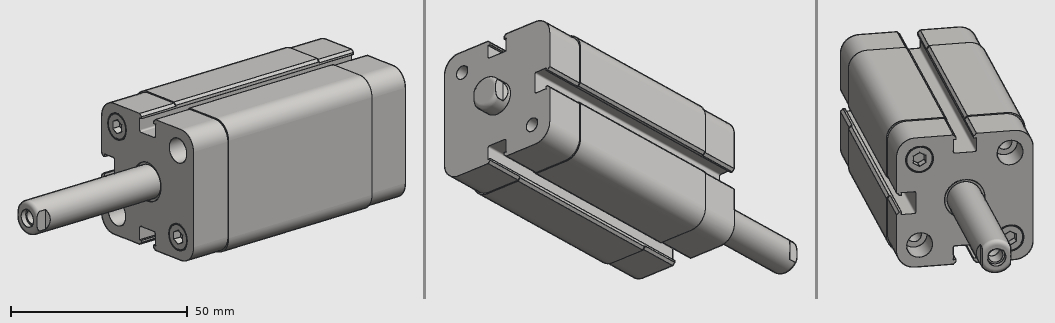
import cadquery as cq
import math


TOTAL_LENGTH = 130.5
BARREL_WIDTH = 40.0
BARREL_LENGTH = 54.0
CAP_WIDTH = 39.4
CAP_LENGTH = 12.9
CORNER_RADIUS = 5.4

ROD_DIAMETER = 10.0
ROD_BACK_LENGTH = 5.4
ROD_END_DIAMETER = 7.5
ROD_CLEARANCE_DIAMETER = 11.6
ROD_CLEARANCE_DEPTH = 0.5
FLATS_WIDTH = 8.1
FLATS_LENGTH = 3.3
ROD_HOLE_DIAMETER = 4.2
ROD_MOUTH_DIAMETER = 5.2
ROD_MOUTH_DEPTH = 1.7
ROD_HOLE_DEPTH = 6.5
DRILL_POINT_ANGLE = 118.0

SLOT_DEPTH = 5.9
SLOT_WIDTH = 6.7
SLOT_NECK_WIDTH = 5.1
SLOT_MOUTH_WIDTH = 6.7
SLOT_LIP_DEPTH = 1.7
SLOT_FLOOR_RADIUS = 0.5

HOLE_OFFSET = 13.0
MOUNT_HOLE_DIAMETER = 4.2
MOUNT_BORE_DIAMETER = 7.5
MOUNT_BORE_DEPTH = 7.8
SCREW_BORE_DIAMETER = 8.0
SCREW_HEAD_DIAMETER = 7.5
SCREW_GAP_DEPTH = 0.7
HEX_ACROSS_FLATS = 3.7
HEX_DEPTH = 2.6

FRONT_END = -TOTAL_LENGTH / 2
BACK_END = TOTAL_LENGTH / 2
BACK_FACE = BACK_END - ROD_BACK_LENGTH
BARREL_BACK = BACK_FACE - CAP_LENGTH
BARREL_FRONT = BARREL_BACK - BARREL_LENGTH
FRONT_FACE = BARREL_FRONT - CAP_LENGTH


def section_at(y):
    """Cross-section plane at station y; local axes are X and Z, extrusion is positive toward -Y."""
    return cq.Workplane("XZ", origin=(0, y, 0))


def square_block(width, y_start, y_end):
    """Square block along Y with rounded long edges."""
    block = section_at(y_start).rect(width, width).extrude(y_start - y_end)
    return block.edges("|Y").fillet(CORNER_RADIUS)


def slot(width, y_start, y_end, angle):
    """Slot cutter in the +Z side of a block, turned about Y by the angle."""
    face = width / 2
    flare = (SLOT_MOUTH_WIDTH - SLOT_NECK_WIDTH) / 2
    lip_bottom = BARREL_WIDTH / 2 - SLOT_LIP_DEPTH
    floor = BARREL_WIDTH / 2 - SLOT_DEPTH
    right_side = [
        (SLOT_MOUTH_WIDTH / 2, face),
        (SLOT_NECK_WIDTH / 2, face - flare),
        (SLOT_NECK_WIDTH / 2, lip_bottom),
        (SLOT_WIDTH / 2, lip_bottom),
        (SLOT_WIDTH / 2, floor),
    ]
    left_side = [(-x, z) for x, z in reversed(right_side)]
    cutter = section_at(y_start).polyline(right_side + left_side).close().extrude(y_start - y_end)
    cutter = cutter.faces("<Z").edges("|Y").fillet(SLOT_FLOOR_RADIUS)
    return cutter.rotate((0, 0, 0), (0, 1, 0), angle)


def slotted_block(width, y_start, y_end):
    """Rounded block with slots on its +Z, -Z and -X sides."""
    block = square_block(width, y_start, y_end)
    for angle in (0, 180, -90):
        block = block.cut(slot(width, y_start, y_end, angle))
    return block


def rod_flats(end, inward):
    """Cutters for two wrench flats on X, run out at 45 degrees."""
    half_flats = FLATS_WIDTH / 2
    outside = ROD_DIAMETER
    flat_stop = end + inward * FLATS_LENGTH
    slope_stop = flat_stop + inward * (outside - half_flats)
    outline = [(half_flats, end), (half_flats, flat_stop), (outside, slope_stop), (outside, end)]
    flat = cq.Workplane("XY").polyline(outline).close().extrude(ROD_DIAMETER, both=True)
    return flat.union(flat.mirror("YZ"))


def rod_hole():
    """Drilled hole in the front rod end, with a wider mouth and conical bottom."""
    hole_radius = ROD_HOLE_DIAMETER / 2
    mouth_radius = ROD_MOUTH_DIAMETER / 2
    hole_bottom = FRONT_END + ROD_HOLE_DEPTH
    point_length = hole_radius / math.tan(math.radians(DRILL_POINT_ANGLE / 2))
    outline = [
        (0, FRONT_END),
        (mouth_radius, FRONT_END),
        (mouth_radius, FRONT_END + ROD_MOUTH_DEPTH),
        (hole_radius, FRONT_END + ROD_MOUTH_DEPTH),
        (hole_radius, hole_bottom),
        (0, hole_bottom + point_length),
    ]
    return cq.Workplane("XY").polyline(outline).close().revolve(360, (0, 0, 0), (0, 1, 0))


def piston_rod():
    """Through rod with rounded ends, wrench flats and a hole in the front end."""
    rod = section_at(FRONT_END).circle(ROD_DIAMETER / 2).extrude(-TOTAL_LENGTH)
    rod = rod.faces("<Y or >Y").edges().fillet((ROD_DIAMETER - ROD_END_DIAMETER) / 2)
    rod = rod.cut(rod_flats(FRONT_END, 1)).cut(rod_flats(BACK_END, -1))
    return rod.cut(rod_hole())


def front_bores(points, diameter, depth):
    """Round cutters sunk into the front face."""
    return section_at(FRONT_FACE).pushPoints(points).circle(diameter / 2).extrude(-depth)


def hex_socket(x, z):
    """Hexagonal cutter for one screw head, with two corners pointing along Z."""
    corner_diameter = HEX_ACROSS_FLATS / math.cos(math.pi / 6)
    socket = section_at(FRONT_FACE).polygon(6, corner_diameter).extrude(-HEX_DEPTH)
    return socket.rotate((0, 0, 0), (0, 1, 0), 90).translate((x, 0, z))


MOUNT_POINTS = [(HOLE_OFFSET, HOLE_OFFSET), (-HOLE_OFFSET, -HOLE_OFFSET)]
SCREW_POINTS = [(-HOLE_OFFSET, HOLE_OFFSET), (HOLE_OFFSET, -HOLE_OFFSET)]

body = slotted_block(BARREL_WIDTH, BARREL_FRONT, BARREL_BACK)
body = body.union(slotted_block(CAP_WIDTH, FRONT_FACE, BARREL_FRONT))
body = body.union(slotted_block(CAP_WIDTH, BARREL_BACK, BACK_FACE))

body = body.cut(front_bores(MOUNT_POINTS, MOUNT_HOLE_DIAMETER, BACK_FACE - FRONT_FACE))
body = body.cut(front_bores(MOUNT_POINTS, MOUNT_BORE_DIAMETER, MOUNT_BORE_DEPTH))

body = body.cut(front_bores(SCREW_POINTS, SCREW_BORE_DIAMETER, SCREW_GAP_DEPTH))
body = body.union(front_bores(SCREW_POINTS, SCREW_HEAD_DIAMETER, SCREW_GAP_DEPTH))
for screw_x, screw_z in SCREW_POINTS:
    body = body.cut(hex_socket(screw_x, screw_z))

body = body.cut(front_bores([(0, 0)], ROD_CLEARANCE_DIAMETER, ROD_CLEARANCE_DEPTH))
result = body.union(piston_rod())